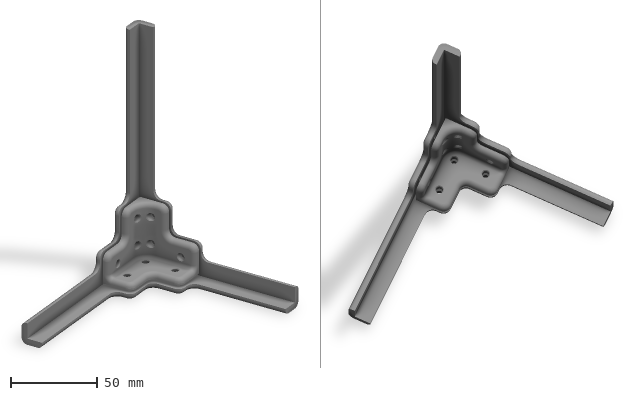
import cadquery as cq


X, Y, Z = 0, 1, 2

arm_length = (110.75, 125.75, 157.0)
wall = 4.0
panel_gap = (2.0, 2.0, 2.5)
outer_edge_radius = 4.0
rim_radius = 3.0

arm_width = 14.0
low_step = (26.0, 26.0, 25.5)
high_step = (46.5, 46.5, 45.5)
arm_concave_radius = 5.0
step_concave_radius = 4.5
convex_radius = 4.5

inner_start = tuple(wall + gap for gap in panel_gap)
inner_face = tuple(start + wall for start in inner_start)
upright_corner_radius = 9.0
floor_corner_radius = 2.0

outer_hole_diameter = 3.4
inner_hole_diameter = 4.2
inner_hole_chamfer = 0.5
hole_near = 16.15
hole_far = 36.35
upright_hole_far_height = 16.05
upright_hole_low = 19.4
upright_hole_pitch = 17.5
upright_hole_high = upright_hole_low + upright_hole_pitch
floor_holes = [(hole_near, hole_near), (hole_far, hole_near), (hole_near, hole_far)]
upright_holes = [
    (hole_near, upright_hole_low),
    (hole_near, upright_hole_high),
    (hole_far, upright_hole_far_height),
]

def onto_floor(flat):
    return flat


def onto_side(flat):
    return flat.rotate((0, 0, 0), (1, 1, 1), 120)


def onto_back(flat):
    return flat.rotate((0, 0, 0), (1, 0, 0), 90).mirror("XZ")


walls = [
    (X, Y, Z, onto_floor, floor_holes),
    (Y, Z, X, onto_side, upright_holes),
    (X, Z, Y, onto_back, upright_holes),
]


def nearest_edge(body, point):
    return body.edges(cq.selectors.NearestToPointSelector(point))


def round_corners(plate, corners, radius):
    """Rounds the corners of a flat plate at the given outline points."""
    for u, v in corners:
        plate = nearest_edge(plate.edges("|Z"), (u, v, 0)).fillet(radius)
    return plate


def outer_wall(u, v):
    """Flat stepped wall with two arms, its outer face at height 0 and rounded along its rim."""
    first_arm_root = (high_step[u], arm_width)
    first_tip = (high_step[u], low_step[v])
    step_root = (low_step[u], low_step[v])
    second_tip = (low_step[u], high_step[v])
    second_arm_root = (arm_width, high_step[v])
    outline = [
        (0, 0),
        (arm_length[u], 0),
        (arm_length[u], arm_width),
        first_arm_root,
        first_tip,
        step_root,
        second_tip,
        second_arm_root,
        (arm_width, arm_length[v]),
        (0, arm_length[v]),
    ]
    plate = cq.Workplane("XY").polyline(outline).close().extrude(wall)
    plate = round_corners(plate, [first_arm_root, second_arm_root], arm_concave_radius)
    plate = round_corners(plate, [step_root], step_concave_radius)
    plate = round_corners(plate, [first_tip, second_tip], convex_radius)
    rim_start = nearest_edge(plate, ((arm_length[u] + high_step[u]) / 2, arm_width, 0))
    return rim_start.fillet(rim_radius)


def inner_wall(u, v, w):
    """Flat stepped wall without arms, standing off the outer wall by the panel gap."""
    first_tip = (high_step[u], low_step[v])
    step_root = (low_step[u], low_step[v])
    second_tip = (low_step[u], high_step[v])
    outline = [
        (inner_start[u], inner_start[v]),
        (high_step[u], inner_start[v]),
        first_tip,
        step_root,
        second_tip,
        (inner_start[u], high_step[v]),
    ]
    base = cq.Workplane("XY").workplane(offset=inner_start[w])
    plate = base.polyline(outline).close().extrude(wall)
    plate = round_corners(plate, [step_root], step_concave_radius)
    return round_corners(plate, [first_tip, second_tip], convex_radius)


def join_walls(pieces):
    body = pieces[0]
    for piece in pieces[1:]:
        body = body.union(piece)
    return body


def drill_outer(body):
    for u, v, w, place, centres in walls:
        drills = cq.Workplane("XY").pushPoints(centres).circle(outer_hole_diameter / 2).extrude(wall)
        body = body.cut(place(drills))
    return body


def drill_inner(body):
    """Drills through the inner walls and chamfers the inside mouth of every hole."""
    for u, v, w, place, centres in walls:
        reach = inner_face[w] + upright_corner_radius
        drills = cq.Workplane("XY").pushPoints(centres).circle(inner_hole_diameter / 2).extrude(reach)
        body = body.cut(place(drills))
    for u, v, w, place, centres in walls:
        for centre in centres:
            mouth = [0, 0, 0]
            mouth[u], mouth[v] = centre
            mouth[w] = inner_face[w]
            body = nearest_edge(body, tuple(mouth)).chamfer(inner_hole_chamfer)
    return body


def make_outer_body():
    body = join_walls([place(outer_wall(u, v)) for u, v, w, place, centres in walls])
    corner_edges = []
    for axis in (X, Y, Z):
        middle = [0, 0, 0]
        middle[axis] = arm_length[axis] / 2
        corner_edges.append(nearest_edge(body, tuple(middle)).val())
    body = body.newObject(corner_edges).fillet(outer_edge_radius)
    return drill_outer(body)


def make_inner_body():
    body = join_walls([place(inner_wall(u, v, w)) for u, v, w, place, centres in walls])
    face_x, face_y, face_z = inner_face
    upright_corner = (face_x, face_y, (face_z + high_step[Z]) / 2)
    body = nearest_edge(body, upright_corner).fillet(upright_corner_radius)
    floor_corner = ((face_x + high_step[X]) / 2, face_y, face_z)
    body = nearest_edge(body, floor_corner).fillet(floor_corner_radius)
    rim_start = ((low_step[X] + high_step[X]) / 2, low_step[Y], face_z)
    body = nearest_edge(body, rim_start).fillet(rim_radius)
    return drill_inner(body)


outer_body = make_outer_body().mirror("XZ")
inner_body = make_inner_body().mirror("XZ")

result = cq.Compound.makeCompound([outer_body.val(), inner_body.val()])